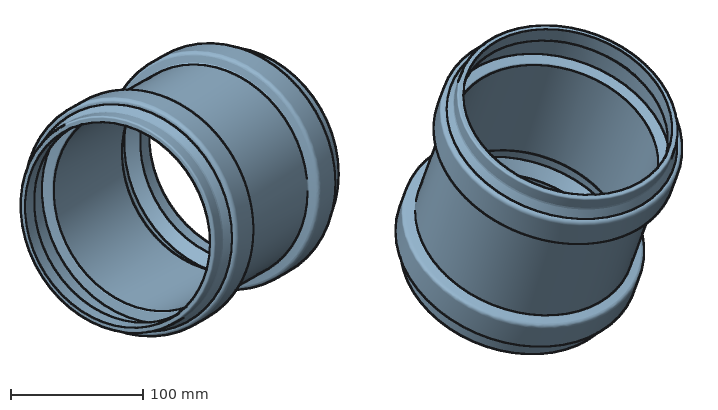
import cadquery as cq

LENGTH = 184.5
HALF_LENGTH = LENGTH / 2
WALL = 4.5

BEAD_RADIUS = 188.4 / 2
CONE_BASE_RADIUS = 179.4 / 2
MOUTH_RADIUS = 171.3 / 2
TUBE_RADIUS = 170.0 / 2

BORE_RADIUS = 161.0 / 2
MOUTH_BORE_RADIUS = 162.2 / 2
SEAL_GROOVE_RADIUS = BEAD_RADIUS - WALL

MOUTH_DEPTH = 11.1
MOUTH_BORE_DEPTH = 13.5
BEAD_START = 18.3
BEAD_END = 44.0
BEAD_FOOT = 45.2
GROOVE_START = BEAD_START + WALL
GROOVE_END = BEAD_END - WALL
GROOVE_FOOT = BEAD_FOOT - WALL

BEAD_FILLET = 3.0
LIP_FILLET = 1.3
BLEND_FILLET = 3.0
FOOT_FILLET = 1.1
BORE_FILLET = 1.1

MATCH_TOLERANCE = 0.02


def revolve_about_y(points):
    """Revolve a closed (radius, y) outline a full turn about the Y axis."""
    return cq.Workplane("XY").polyline(points).close().revolve(360, (0, 0, 0), (0, 1, 0))


def round_circles(body, radius, y, fillet):
    """Fillet the circular edges of the given radius at +y and -y."""
    def matches(edge):
        right_radius = abs(edge.radius() - radius) < MATCH_TOLERANCE
        right_place = abs(abs(edge.Center().y) - y) < MATCH_TOLERANCE
        return right_radius and right_place

    circles = [edge for edge in body.edges("%CIRCLE").vals() if matches(edge)]
    return body.newObject(circles).fillet(fillet)


def mirrored_outline(end_points):
    """Complete a half outline, listed from the +Y end to the middle, about y = 0."""
    opposite_points = [(radius, -y) for radius, y in reversed(end_points)]
    return end_points + opposite_points


def outer_body():
    """Solid envelope: plain tube with a beaded socket at each end."""
    half_outline = [
        (0, HALF_LENGTH),
        (MOUTH_RADIUS, HALF_LENGTH),
        (MOUTH_RADIUS, HALF_LENGTH - MOUTH_DEPTH),
        (CONE_BASE_RADIUS, HALF_LENGTH - BEAD_START),
        (BEAD_RADIUS, HALF_LENGTH - BEAD_START),
        (BEAD_RADIUS, HALF_LENGTH - BEAD_END),
        (TUBE_RADIUS, HALF_LENGTH - BEAD_FOOT),
    ]
    body = revolve_about_y(mirrored_outline(half_outline))
    body = round_circles(body, BEAD_RADIUS, HALF_LENGTH - BEAD_START, BEAD_FILLET)
    body = round_circles(body, BEAD_RADIUS, HALF_LENGTH - BEAD_END, BEAD_FILLET)
    body = round_circles(body, MOUTH_RADIUS, HALF_LENGTH - MOUTH_DEPTH, BLEND_FILLET)
    body = round_circles(body, TUBE_RADIUS, HALF_LENGTH - BEAD_FOOT, FOOT_FILLET)
    return round_circles(body, MOUTH_RADIUS, HALF_LENGTH, LIP_FILLET)


def inner_cavity():
    """Through bore with a widened mouth and a seal groove under each bead."""
    half_outline = [
        (0, HALF_LENGTH),
        (MOUTH_BORE_RADIUS, HALF_LENGTH),
        (MOUTH_BORE_RADIUS, HALF_LENGTH - MOUTH_BORE_DEPTH),
        (SEAL_GROOVE_RADIUS, HALF_LENGTH - GROOVE_START),
        (SEAL_GROOVE_RADIUS, HALF_LENGTH - GROOVE_END),
        (BORE_RADIUS, HALF_LENGTH - GROOVE_FOOT),
    ]
    cavity = revolve_about_y(mirrored_outline(half_outline))
    return round_circles(cavity, BORE_RADIUS, HALF_LENGTH - GROOVE_FOOT, BORE_FILLET)


result = outer_body().cut(inner_cavity())